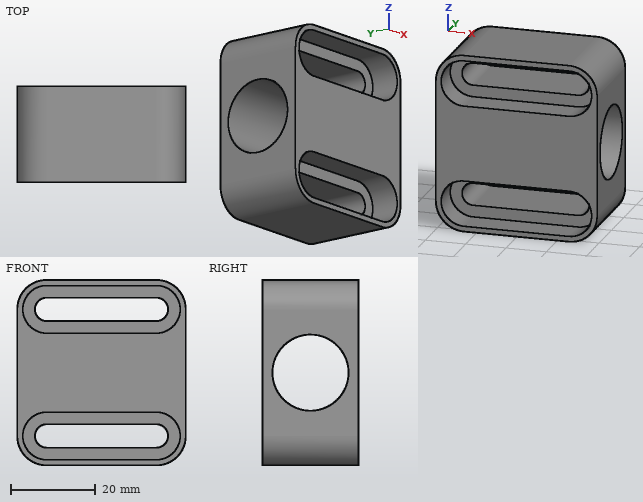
import cadquery as cq

width = 40.0
depth = 22.8
height = 44.0
corner_radius = 7.0

bore_diameter = 18.0

slot_width = 5.5
recess_width = 11.3
recess_depth = 7.4
slot_centre_distance = width - 2 * corner_radius
slot_offset = height / 2 - corner_radius

front_y = -depth / 2


def slot_cutter(z_centre, cutter_width, cutter_depth):
    """Round-ended slot cutter running from the front face toward +Y."""
    return (
        cq.Workplane("XZ", origin=(0, front_y, z_centre))
        .slot2D(slot_centre_distance + cutter_width, cutter_width)
        .extrude(-cutter_depth)
    )


block = (
    cq.Workplane("XY")
    .box(width, depth, height)
    .edges("|Y")
    .fillet(corner_radius)
)

bore = cq.Workplane("YZ").circle(bore_diameter / 2).extrude(width / 2, both=True)

result = block.cut(bore)
for z_centre in (-slot_offset, slot_offset):
    result = result.cut(slot_cutter(z_centre, slot_width, depth))
    result = result.cut(slot_cutter(z_centre, recess_width, recess_depth))